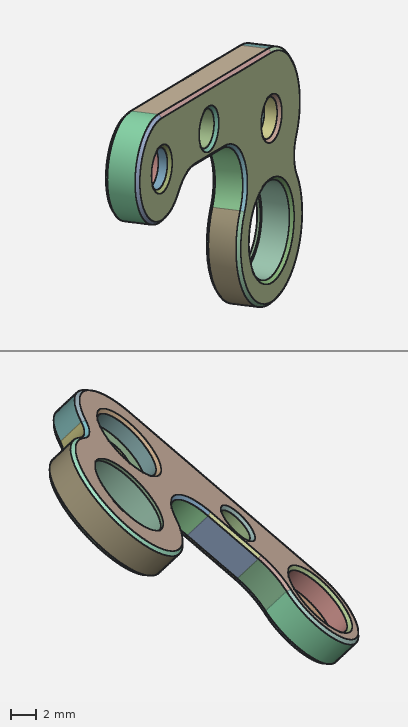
import cadquery as cq
import math

thickness = 3.0
length = 31.75
height = 21.2
ring_radius = 6.2
corner_radius = 5.75
end_radius = 4.5
web_height = 5.97
inner_fillet = 4.05
neck_fillet = 2.85
edge_chamfer = 0.3

ring_bore = 8.1
ring_lip_bore = 7.53
ring_lip_thickness = 0.3
screw_hole = 3.4
counterbore = 6.5
corner_counterbore_depth = 1.6
end_counterbore_depth = 1.9
small_hole = 3.2
small_hole_offset = 12.0
small_hole_drop = 3.53

top = height / 2
ring_center = (ring_radius - length / 2, ring_radius - height / 2)
corner_center = (ring_center[0], top - corner_radius)
end_center = (length / 2 - end_radius, top - end_radius)
small_hole_center = (ring_center[0] + small_hole_offset, top - small_hole_drop)
web_bottom = top - web_height


def point_toward(start, target, distance):
    """Point at the given distance from start, on the line to target."""
    span = math.dist(start, target)
    return tuple(a + (b - a) * distance / span for a, b in zip(start, target))


def neck_center():
    """Centre of the fillet touching the ring and the corner on their outer side."""
    ring_reach = ring_radius + neck_fillet
    corner_reach = corner_radius + neck_fillet
    spacing = corner_center[1] - ring_center[1]
    rise = (ring_reach**2 - corner_reach**2 + spacing**2) / (2 * spacing)
    return (ring_center[0] - math.sqrt(ring_reach**2 - rise**2), ring_center[1] + rise)


def web_fillet_center(round_center, round_radius, side):
    """Centre of a fillet touching the web's lower edge and a round, on its given side (+1 or -1)."""
    up = web_bottom - inner_fillet
    run = math.sqrt((round_radius + inner_fillet)**2 - (up - round_center[1])**2)
    return (round_center[0] + side * run, up)


def make_plate():
    neck = neck_center()
    ring_side = web_fillet_center(ring_center, ring_radius, 1)
    end_side = web_fillet_center(end_center, end_radius, -1)

    neck_on_corner = point_toward(corner_center, neck, corner_radius)
    neck_on_ring = point_toward(ring_center, neck, ring_radius)
    fillet_on_ring = point_toward(ring_center, ring_side, ring_radius)
    fillet_on_end = point_toward(end_center, end_side, end_radius)
    web_corner = (ring_side[0], web_bottom)
    neck_arc_aim = (ring_center[0], neck[1])
    ring_arc_aim = (ring_center[0], -height)
    end_arc_aim = (length, end_center[1])
    web_end_arc_aim = (end_side[0] + inner_fillet, web_bottom)
    corner_arc_aim = (corner_center[0] - corner_radius, top)

    face = cq.Plane(origin=(-thickness / 2, 0, 0), xDir=(0, -1, 0), normal=(-1, 0, 0))
    outline = (
        cq.Workplane(face)
        .moveTo(corner_center[0], top)
        .lineTo(end_center[0], top)
        .threePointArc(point_toward(end_center, end_arc_aim, end_radius), fillet_on_end)
        .threePointArc(point_toward(end_side, web_end_arc_aim, inner_fillet), (end_side[0], web_bottom))
        .lineTo(*web_corner)
        .threePointArc((ring_side[0] - inner_fillet, ring_side[1]), fillet_on_ring)
        .threePointArc(point_toward(ring_center, ring_arc_aim, ring_radius), neck_on_ring)
        .threePointArc(point_toward(neck, neck_arc_aim, neck_fillet), neck_on_corner)
        .threePointArc(point_toward(corner_center, corner_arc_aim, corner_radius), (corner_center[0], top))
        .close()
    )
    return outline.extrude(-thickness).faces("<X or >X").chamfer(edge_chamfer)


def rear_mouth(center, diameter):
    """Cone cutter that chamfers a through hole where it leaves the +X face."""
    radius = diameter / 2
    start = cq.Vector(thickness / 2 - edge_chamfer, -center[0], center[1])
    cone = cq.Solid.makeCone(radius, radius + edge_chamfer, edge_chamfer, start, cq.Vector(1, 0, 0))
    return cq.Workplane(obj=cone)


def bore(center, diameter, depth, mouth_chamfer=0):
    """Cutter entering from the -X face, with an optional chamfered mouth."""
    radius = diameter / 2
    face = cq.Plane(
        origin=(-thickness / 2, -center[0], center[1]), xDir=(0, -1, 0), normal=(1, 0, 0)
    )
    cutter = cq.Workplane(face).circle(radius).extrude(depth)
    if mouth_chamfer:
        mouth = cq.Solid.makeCone(
            radius + mouth_chamfer, radius, mouth_chamfer, face.origin, face.zDir
        )
        cutter = cutter.union(cq.Workplane(obj=mouth))
    return cutter


result = make_plate()

for center, depth in (
    (corner_center, corner_counterbore_depth),
    (end_center, end_counterbore_depth),
):
    result = result.cut(bore(center, screw_hole, thickness))
    result = result.cut(bore(center, counterbore, depth, edge_chamfer))
    result = result.cut(rear_mouth(center, screw_hole))

result = result.cut(bore(small_hole_center, small_hole, thickness, edge_chamfer))
result = result.cut(rear_mouth(small_hole_center, small_hole))

ring_seat = bore(ring_center, ring_bore, thickness).translate((ring_lip_thickness, 0, 0))
result = result.cut(bore(ring_center, ring_lip_bore, thickness))
result = result.cut(ring_seat)
result = result.cut(rear_mouth(ring_center, ring_bore))